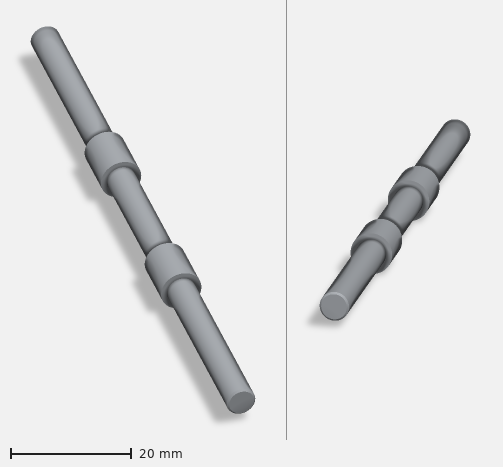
import cadquery as cq

shaft_length = 108.0
shaft_diameter = 5.0
end_chamfer = 0.3

collar_diameter = 7.0
collar_length = 9.0
collar_gap = 24.0
collar_offset = (collar_gap + collar_length) / 2


def cylinder_along_x(diameter, length, center_x):
    """Solid cylinder on the X axis, centred at center_x."""
    start = cq.Workplane("YZ", origin=(center_x - length / 2, 0, 0))
    return start.circle(diameter / 2).extrude(length)


result = cylinder_along_x(shaft_diameter, shaft_length, 0).edges().chamfer(end_chamfer)

for side in (-1, 1):
    result = result.union(cylinder_along_x(collar_diameter, collar_length, side * collar_offset))